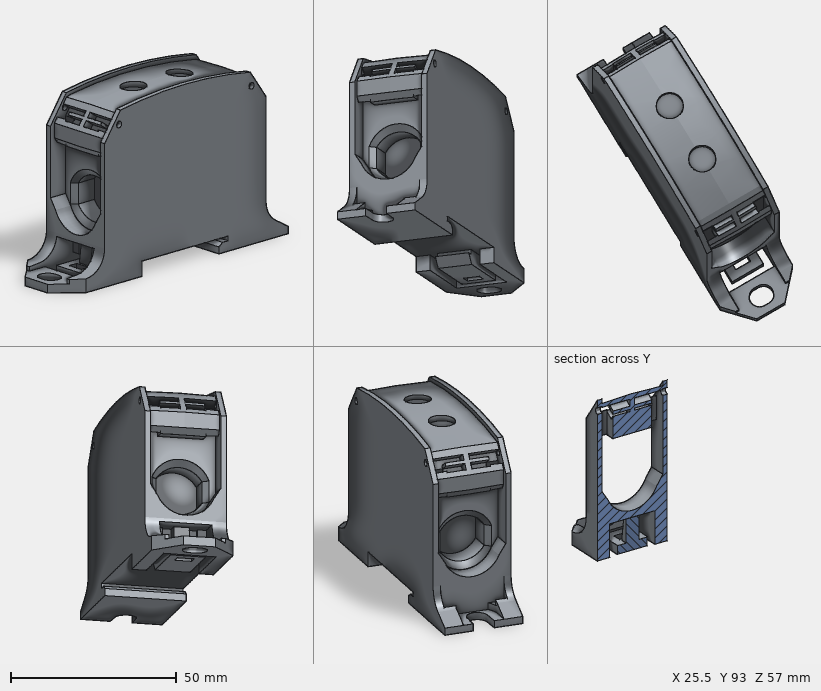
import cadquery as cq
import math

width = 25.5
half_width = width / 2
body_half_length = 33.65
crown_z = 57.0
shoulder_y = 27.05
shoulder_z = 54.75
chamfer_bottom_z = 45.55
foot_radius = 7.8
foot_arc_start_z = 12.3
front_end_y = -50.0
back_end_y = 42.95
back_end_z = 2.3
back_arc_angle = 60
plate_z = 2.8
pad_end_y = -45.1
pad_end_z = 4.2

plate_inner_y = -38.7
plate_tip_half_width = 4.9
front_hole_y = -44.5
front_hole_length = 7.6
front_hole_width = 6.2
back_slot_center_y = 37.7
back_slot_radius = 3.3
back_slot_mouth_half_width = 3.4
back_recess_radius = 6.6
back_ledge_half_width = 10.3
back_ledge_end_y = 36.4
back_ledge_z = 4.5

rail_top_z = 4.8
rail_lip_z = 3.35
rail_fixed_y = 17.8
rail_hook_y = 15.5
rail_hook_tip_y = 13.9
rail_hook_tip_z = 2.2
rail_free_y = -18.0

cover_draft_angle = 1.2
cover_half_width = 11.0
cover_crown_z = 55.9
cover_edge_y = 27.1
cover_edge_z = 53.5
cover_bend_y = -25.5
cover_bend_z = 54.0
lip_y = 32.3
lip_top_z = 46.3
lip_bottom_z = 41.5
lip_back_y = 30.9
cover_bottom_z = 39.5
screw_hole_y = 9.6
screw_hole_radius = 4.1
screw_hole_floor_z = 53.9

slot_depth = 3.35
upper_slot = (2.3, 4.1)
lower_slot = (5.1, 7.2)
slot_inner_x = 0.9
shaft_inner_x = 7.1
pin_hole_y = 27.6
pin_hole_z = 50.3
pin_hole_radius = 1.0

entry_z = 23.3
entry_face_y = 27.3
entry_taper_depth = 1.7
entry_depth = 8.4
trough_radius = 9.6
trough_shoulder_z = 22.9
trough_joint_x = 8.7
mouth_half_width = 8.9
mouth_half_height = 9.5
throat_half_width = 7.2
throat_half_height = 7.3
entry_flat_half_height = 3.35

latch_half_width = 5.5
latch_front_y = -36.4
latch_bottom_z = 0.3
latch_tooth_y = -15.7
latch_stop_y = -17.5
latch_block_y = -25.6
latch_window_half_width = 2.6
latch_window_y = (-33.7, -30.7)
latch_rib_half_width = 2.4
latch_rib_bottom_y = -29.75
latch_rib_top_y = -28.7
pocket_half_width = 8.2
pocket_back_y = -27.0
pocket_top_z = 11.25

clearance = 4.65
slot_overcut = 0.9


def box(x_range, y_range, z_range):
    """A box given by its limits along each axis."""
    size = [high - low for low, high in (x_range, y_range, z_range)]
    return cq.Workplane("XY").box(*size, centered=False).translate((x_range[0], y_range[0], z_range[0]))


def span(sketch, x_from, x_to):
    """Extrude a closed YZ sketch between two X positions."""
    return sketch.extrude(x_to - x_from).translate((x_from, 0, 0))


def both_ends(cutter):
    """The cutter for the -Y end together with its mirror image at the +Y end."""
    return cutter.union(cutter.mirror("XZ"))


def both_sides(half):
    """The +X half together with its mirror image on the -X side."""
    return half.union(half.mirror("YZ"))


def side_block():
    """The full-width block with both feet and the rail channel."""
    front_arc_y = -body_half_length - foot_radius
    front_arc_z = foot_arc_start_z - foot_radius
    diagonal = foot_radius * math.sqrt(0.5)
    angle = math.radians(back_arc_angle)
    back_center_y = body_half_length + foot_radius

    def back_arc(turn):
        return (back_center_y - foot_radius * math.cos(turn), foot_arc_start_z - foot_radius * math.sin(turn))

    outline = (
        cq.Workplane("YZ")
        .moveTo(front_end_y, 0)
        .lineTo(front_end_y, plate_z)
        .lineTo(pad_end_y, plate_z)
        .lineTo(pad_end_y, pad_end_z)
        .lineTo(front_arc_y, front_arc_z)
        .threePointArc(
            (front_arc_y + diagonal, foot_arc_start_z - diagonal),
            (-body_half_length, foot_arc_start_z),
        )
        .lineTo(-body_half_length, chamfer_bottom_z)
        .lineTo(-shoulder_y, shoulder_z)
        .threePointArc((0, crown_z), (shoulder_y, shoulder_z))
        .lineTo(body_half_length, chamfer_bottom_z)
        .lineTo(body_half_length, foot_arc_start_z)
        .threePointArc(back_arc(angle / 2), back_arc(angle))
        .lineTo(back_end_y, back_end_z)
        .lineTo(back_end_y, 0)
        .lineTo(rail_hook_tip_y, 0)
        .lineTo(rail_hook_tip_y, rail_hook_tip_z)
        .lineTo(rail_hook_y, rail_lip_z)
        .lineTo(rail_fixed_y, rail_lip_z)
        .lineTo(rail_fixed_y, rail_top_z)
        .lineTo(rail_free_y, rail_top_z)
        .lineTo(rail_free_y, 0)
        .close()
    )
    return span(outline, -half_width, half_width)


def space_above_cover():
    """The space between the side walls around the cover, whose surfaces fall away from the ridge."""
    cover_outline = (
        cq.Workplane("YZ")
        .moveTo(-lip_back_y, cover_bottom_z - clearance)
        .lineTo(-lip_back_y, cover_bottom_z)
        .lineTo(-lip_y, lip_bottom_z)
        .lineTo(-lip_y, lip_top_z)
        .lineTo(-cover_edge_y, cover_edge_z)
        .lineTo(cover_bend_y, cover_bend_z)
        .threePointArc((0, cover_crown_z), (cover_edge_y, cover_edge_z))
        .lineTo(lip_y, lip_top_z)
        .lineTo(lip_y, lip_bottom_z)
        .lineTo(lip_back_y, cover_bottom_z)
        .lineTo(lip_back_y, cover_bottom_z - clearance)
        .close()
    )
    cover = both_sides(cover_outline.extrude(cover_half_width, taper=cover_draft_angle))
    reach = body_half_length + clearance
    space = box(
        (-cover_half_width, cover_half_width),
        (-reach, reach),
        (cover_bottom_z, crown_z + clearance),
    )
    return space.cut(cover)


def screw_holes():
    """Two shallow round holes on the cover's centre line."""
    return (
        cq.Workplane("XY", origin=(0, 0, screw_hole_floor_z))
        .pushPoints([(0, -screw_hole_y), (0, screw_hole_y)])
        .circle(screw_hole_radius)
        .extrude(clearance)
    )


def slope_point(distance, depth):
    """The (Y, Z) point a distance down the -Y cover slope and a depth square into it."""
    slope_angle = math.atan2(cover_edge_z - lip_top_z, lip_y - cover_edge_y)
    return (
        -cover_edge_y - distance * math.cos(slope_angle) + depth * math.sin(slope_angle),
        cover_edge_z - distance * math.sin(slope_angle) - depth * math.cos(slope_angle),
    )


def slope_slot(distances):
    """A blind slot cut square into the +X half of the -Y cover slope."""
    top, bottom = distances
    outline = cq.Workplane("YZ").polyline(
        [
            slope_point(top, -slot_overcut),
            slope_point(top, slot_depth),
            slope_point(bottom, slot_depth),
            slope_point(bottom, -slot_overcut),
        ]
    ).close()
    return span(outline, slot_inner_x, shaft_inner_x)


def slope_shaft():
    """The opening beside the slots, running from the slope down into the wire entry."""
    roof_inner = slope_point(upper_slot[0], slot_depth)
    roof_outer = slope_point(upper_slot[0], -slot_overcut)
    facet_run = -entry_face_y - roof_inner[0]
    slope_ratio = (cover_edge_z - lip_top_z) / (lip_y - cover_edge_y)
    outline = cq.Workplane("YZ").polyline(
        [
            (-lip_back_y, cover_bottom_z),
            (-lip_back_y, roof_outer[1]),
            roof_outer,
            roof_inner,
            (-entry_face_y, roof_inner[1] + facet_run * slope_ratio),
            (-entry_face_y, cover_bottom_z),
        ]
    ).close()
    return span(outline, shaft_inner_x, cover_half_width)


def pin_holes():
    """A small round hole through the +X wall near its -Y shoulder."""
    return (
        cq.Workplane("YZ", origin=(cover_half_width, 0, 0))
        .center(-pin_hole_y, pin_hole_z)
        .circle(pin_hole_radius)
        .extrude(half_width)
    )


def entry_trough():
    """The recess in front of the wire entry at -Y: straight sides closing onto a round bottom."""
    joint_z = entry_z - math.sqrt(trough_radius**2 - trough_joint_x**2)
    return (
        cq.Workplane("XZ", origin=(0, -entry_face_y, 0))
        .moveTo(-cover_half_width, cover_bottom_z)
        .lineTo(-cover_half_width, trough_shoulder_z)
        .lineTo(-trough_joint_x, joint_z)
        .threePointArc((0, entry_z - trough_radius), (trough_joint_x, joint_z))
        .lineTo(cover_half_width, trough_shoulder_z)
        .lineTo(cover_half_width, cover_bottom_z)
        .close()
        .extrude(body_half_length)
    )


def flat_sided_round(plane, flat_x, arc_height):
    """A round outline with two upright flats, centred on the plane's origin."""
    flat_z = entry_flat_half_height
    return (
        plane.moveTo(-flat_x, -flat_z)
        .threePointArc((0, -arc_height), (flat_x, -flat_z))
        .lineTo(flat_x, flat_z)
        .threePointArc((0, arc_height), (-flat_x, flat_z))
        .close()
    )


def wire_entry():
    """The hole at -Y: a tapered mouth leading to a straight blind throat."""
    face = cq.Workplane("XZ", origin=(0, -entry_face_y, entry_z))
    mouth = flat_sided_round(face, mouth_half_width, mouth_half_height)
    mouth = flat_sided_round(mouth.workplane(offset=-entry_taper_depth), throat_half_width, throat_half_height)
    throat_face = cq.Workplane("XZ", origin=(0, entry_taper_depth - entry_face_y, entry_z))
    throat = flat_sided_round(throat_face, throat_half_width, throat_half_height)
    return mouth.loft(ruled=True).union(throat.extrude(entry_taper_depth - entry_depth))


def latch_space():
    """The pocket above the front foot and the passage that guides the latch to the rail."""
    pocket_x = (-pocket_half_width, pocket_half_width)
    latch_x = (-latch_half_width, latch_half_width)
    above_plate = box(pocket_x, (front_end_y, pocket_back_y), (plate_z, pocket_top_z))
    behind_plate = box(pocket_x, (plate_inner_y, rail_free_y), (0, rail_top_z))
    latch_bay = box(latch_x, (pocket_back_y, rail_free_y), (0, pocket_top_z))
    return above_plate.union(behind_plate).union(latch_bay)


def front_foot_cuts():
    """The slanting corners and the slotted hole of the -Y foot."""
    slant_start_y = -body_half_length - foot_radius
    corner = (
        cq.Workplane("XY")
        .polyline([(half_width, slant_start_y), (half_width, front_end_y), (plate_tip_half_width, front_end_y)])
        .close()
        .extrude(pocket_top_z)
    )
    hole = (
        cq.Workplane("XY", origin=(0, front_hole_y, 0))
        .slot2D(front_hole_length, front_hole_width)
        .extrude(pocket_top_z)
    )
    return both_sides(corner).union(hole)


def back_foot_cuts():
    """The open screw slot of the +Y foot, the recess around it and the ledge behind it."""
    slot = (
        cq.Workplane("XY")
        .moveTo(-back_slot_radius, back_slot_center_y)
        .threePointArc((0, back_slot_center_y - back_slot_radius), (back_slot_radius, back_slot_center_y))
        .lineTo(back_slot_mouth_half_width, back_end_y)
        .lineTo(-back_slot_mouth_half_width, back_end_y)
        .close()
        .extrude(foot_arc_start_z)
    )
    recess = (
        cq.Workplane("XY", origin=(0, back_slot_center_y, back_end_z))
        .circle(back_recess_radius)
        .extrude(foot_arc_start_z)
        .union(
            box(
                (-back_recess_radius, back_recess_radius),
                (back_slot_center_y, back_end_y),
                (back_end_z, foot_arc_start_z),
            )
        )
    )
    outside_body = box(
        (-half_width, half_width), (body_half_length, back_end_y), (0, foot_arc_start_z)
    )
    ledge = box(
        (-back_ledge_half_width, back_ledge_half_width),
        (body_half_length, back_ledge_end_y),
        (back_ledge_z, foot_arc_start_z),
    )
    return slot.union(recess.intersect(outside_body)).union(ledge)


def make_housing():
    housing = side_block().cut(space_above_cover()).cut(screw_holes())
    slope_cuts = slope_slot(upper_slot).union(slope_slot(lower_slot)).union(slope_shaft()).union(pin_holes())
    housing = housing.cut(both_ends(both_sides(slope_cuts)))
    housing = housing.cut(both_ends(entry_trough())).cut(both_ends(wire_entry()))
    return housing.cut(latch_space()).cut(front_foot_cuts()).cut(back_foot_cuts())


def make_latch():
    """The sliding rail latch: a flat tongue with a tooth, a rear block and a sloping rib."""
    outline = cq.Workplane("YZ").polyline(
        [
            (latch_front_y, latch_bottom_z),
            (rail_free_y, latch_bottom_z),
            (latch_tooth_y, rail_lip_z),
            (latch_stop_y, rail_lip_z),
            (latch_stop_y, rail_top_z),
            (rail_free_y, rail_top_z),
            (rail_free_y, pocket_top_z),
            (latch_block_y, pocket_top_z),
            (latch_block_y, rail_lip_z),
            (latch_front_y, rail_lip_z),
        ]
    ).close()
    rib_outline = cq.Workplane("YZ").polyline(
        [
            (latch_rib_bottom_y, rail_lip_z),
            (latch_rib_top_y, pocket_top_z),
            (latch_block_y, pocket_top_z),
            (latch_block_y, rail_lip_z),
        ]
    ).close()
    window = box(
        (-latch_window_half_width, latch_window_half_width), latch_window_y, (0, rail_lip_z)
    )
    latch = span(outline, -latch_half_width, latch_half_width)
    rib = span(rib_outline, -latch_rib_half_width, latch_rib_half_width)
    return latch.union(rib).cut(window)


housing = make_housing()
latch = make_latch()
result = cq.Compound.makeCompound([housing.val(), latch.val()])